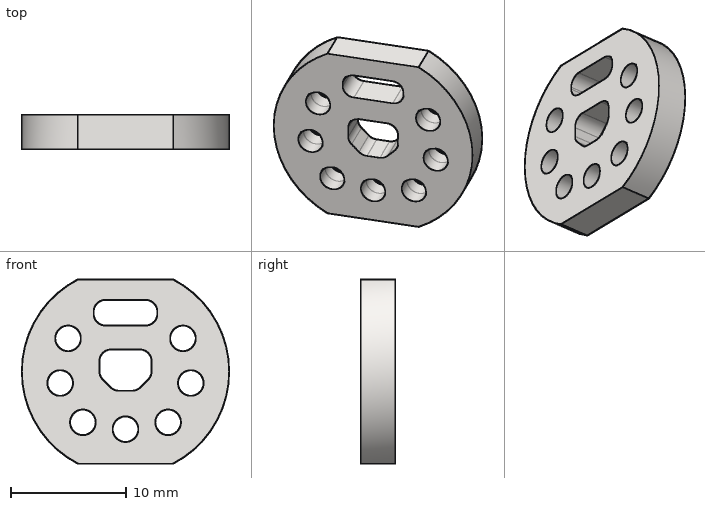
import cadquery as cq
import math

disc_radius = 9.0
across_flats = 16.0
thickness = 3.0

hole_diameter = 2.2
hole_circle_radius = 5.75
hole_step_angle = 40.0
first_hole_angle = -50.0
holes_per_side = 3
bottom_hole_offset = 5.0

slot_width = 5.5
slot_height = 2.2
slot_corner_radius = 1.0
slot_center_z = 5.1

window_width = 4.5
window_top_z = 1.9
window_bottom_z = -1.65
window_corner_cut = 1.25
window_corner_radius = 1.0


def extrude_through(sketch):
    """Extrude an XZ profile over the full thickness, centred on Y = 0."""
    return sketch.extrude(thickness / 2, both=True)


def make_disc():
    disc = extrude_through(cq.Workplane("XZ").circle(disc_radius))
    flats = extrude_through(cq.Workplane("XZ").rect(2 * disc_radius, across_flats))
    return disc.intersect(flats)


def hole_centers():
    """Return (x, z) centres: the bottom hole, then mirrored pairs stepping up the arc."""
    centers = [(0, -bottom_hole_offset)]
    for index in range(holes_per_side):
        angle = math.radians(first_hole_angle + index * hole_step_angle)
        x = hole_circle_radius * math.cos(angle)
        z = hole_circle_radius * math.sin(angle)
        centers += [(x, z), (-x, z)]
    return centers


def make_holes():
    return extrude_through(cq.Workplane("XZ").pushPoints(hole_centers()).circle(hole_diameter / 2))


def make_slot():
    slot = extrude_through(cq.Workplane("XZ").center(0, slot_center_z).rect(slot_width, slot_height))
    return slot.edges("|Y").fillet(slot_corner_radius)


def make_window():
    half_width = window_width / 2
    floor_half_width = half_width - window_corner_cut
    shoulder_z = window_bottom_z + window_corner_cut
    outline = [
        (-half_width, window_top_z),
        (half_width, window_top_z),
        (half_width, shoulder_z),
        (floor_half_width, window_bottom_z),
        (-floor_half_width, window_bottom_z),
        (-half_width, shoulder_z),
    ]
    window = extrude_through(cq.Workplane("XZ").polyline(outline).close())
    return window.edges("|Y").fillet(window_corner_radius)


result = make_disc().cut(make_holes()).cut(make_slot()).cut(make_window())